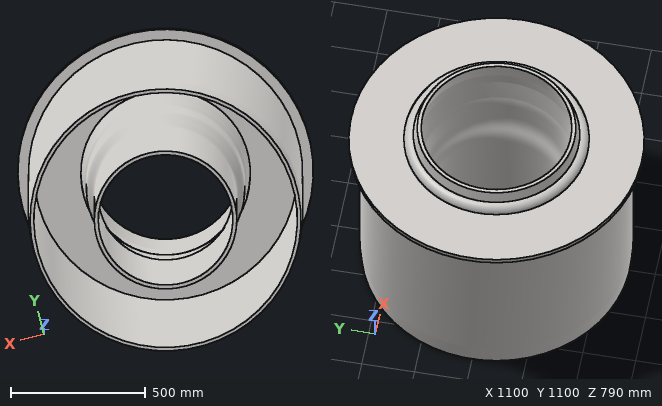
import cadquery as cq
import math

total_height = 790.0
flange_top = 720.0
flange_thickness = 20.0

flange_radius = 1100.0 / 2
drum_radius = 1020.0 / 2
drum_inner_radius = 980.0 / 2
foot_radius = 1008.0 / 2
foot_height = 80.0

wall = 15.0
rim_bore = 560.0 / 2
belly_bore = 600.0 / 2
waist_bore = rim_bore
outlet_bore = 500.0 / 2
belly_top = 705.0
belly_bottom = 660.0
shoulder_height = 580.0
waist_top = 545.0
waist_bottom = 462.0
shoulder_arc_radius = 100.0
step_arc_radius = 100.0

collar_foot_radius = 620.0 / 2
bead_radius = 30.0
bead_centre_radius = belly_bore + wall

flange_bottom = flange_top - flange_thickness

bead_turn = math.acos((collar_foot_radius - bead_centre_radius) / bead_radius)


def arc_rise(radius, angle):
    """Height gained along an arc that starts vertical."""
    return radius * math.sin(angle)


def arc_shift(radius, angle):
    """Sideways shift along an arc that starts vertical."""
    return radius * (1 - math.cos(angle))


shoulder_angle = math.asin((shoulder_height - waist_top) / shoulder_arc_radius)
shoulder_bore = waist_bore + arc_shift(shoulder_arc_radius, shoulder_angle)

step_bore = (waist_bore + outlet_bore) / 2
step_angle = math.acos(1 - (waist_bore - step_bore) / step_arc_radius)
step_middle = waist_bottom - arc_rise(step_arc_radius, step_angle)
outlet_top = step_middle - arc_rise(step_arc_radius, step_angle)


def revolve_profile(profile):
    """Turn a closed radius-height profile around the Z axis."""
    return profile.close().revolve(360, (0, 0, 0), (0, 1, 0))


def trace_liner(offset):
    """Solid of revolution bounded by the liner bore moved outward by offset."""
    shoulder_middle = (
        waist_bore + offset + arc_shift(shoulder_arc_radius, shoulder_angle / 2),
        waist_top + arc_rise(shoulder_arc_radius, shoulder_angle / 2),
    )
    half_step_shift = arc_shift(step_arc_radius, step_angle / 2)
    half_step_rise = arc_rise(step_arc_radius, step_angle / 2)
    upper_step_middle = (waist_bore + offset - half_step_shift, waist_bottom - half_step_rise)
    lower_step_middle = (outlet_bore + offset + half_step_shift, outlet_top + half_step_rise)

    profile = (
        cq.Workplane("XZ")
        .moveTo(0, total_height)
        .lineTo(rim_bore + offset, total_height)
        .lineTo(belly_bore + offset, belly_top)
        .lineTo(belly_bore + offset, belly_bottom)
        .lineTo(shoulder_bore + offset, shoulder_height)
        .threePointArc(shoulder_middle, (waist_bore + offset, waist_top))
        .lineTo(waist_bore + offset, waist_bottom)
        .threePointArc(upper_step_middle, (step_bore + offset, step_middle))
        .threePointArc(lower_step_middle, (outlet_bore + offset, outlet_top))
        .lineTo(outlet_bore + offset, 0)
        .lineTo(0, 0)
    )
    return revolve_profile(profile)


def make_collar():
    """Tapered rim and the rounded bead below it that rests on the flange."""
    seat_radius = bead_centre_radius + bead_radius
    bead_middle = (
        seat_radius - arc_shift(bead_radius, bead_turn / 2),
        flange_top + arc_rise(bead_radius, bead_turn / 2),
    )
    collar_foot = (collar_foot_radius, flange_top + arc_rise(bead_radius, bead_turn))
    profile = (
        cq.Workplane("XZ")
        .moveTo(0, flange_top)
        .lineTo(seat_radius, flange_top)
        .threePointArc(bead_middle, collar_foot)
        .lineTo(rim_bore + wall, total_height)
        .lineTo(0, total_height)
    )
    return revolve_profile(profile)


def make_liner():
    """Necked tube with its collar, hollowed along the bore."""
    outer = trace_liner(wall).union(make_collar())
    return outer.cut(trace_liner(0))


def make_drum():
    """Drum shell and flange, with a hole that the liner fills."""
    shell = revolve_profile(
        cq.Workplane("XZ")
        .moveTo(foot_radius, 0)
        .lineTo(drum_radius, foot_height)
        .lineTo(drum_radius, flange_bottom)
        .lineTo(flange_radius, flange_bottom)
        .lineTo(flange_radius, flange_top)
        .lineTo(0, flange_top)
        .lineTo(0, flange_bottom)
        .lineTo(drum_inner_radius, flange_bottom)
        .lineTo(drum_inner_radius, 0)
    )
    return shell.cut(trace_liner(wall))


drum = make_drum()
liner = make_liner()
result = cq.Compound.makeCompound([drum.val(), liner.val()])